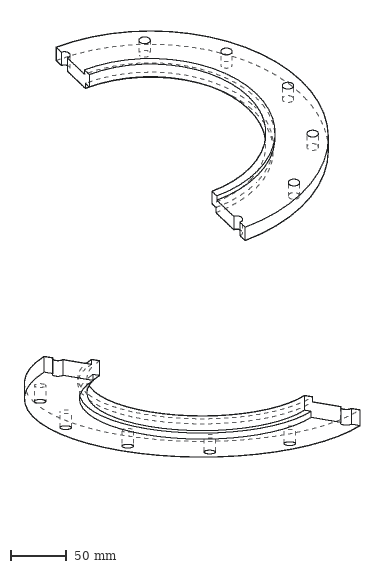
import cadquery as cq
import math

outer_radius = 160.0
bore_radius = 103.7
rim_radius = 112.0
recess_radius = 110.5
flange_height = 15.0
total_height = 20.0
recess_depth = 5.8

bolt_circle_radius = 146.0
bolt_hole_diameter = 10.2
bolt_spacing_angle = 30
bolt_count = 7


def half_disc(radius, height):
    """Half cylinder on the +Y side, standing on Z = 0."""
    return (
        cq.Workplane("XY")
        .moveTo(-radius, 0)
        .threePointArc((0, radius), (radius, 0))
        .close()
        .extrude(height)
    )


def bolt_holes():
    """Through holes along the bolt circle, from +X round to -X."""
    angles = [math.radians(i * bolt_spacing_angle) for i in range(bolt_count)]
    centres = [
        (bolt_circle_radius * math.cos(a), bolt_circle_radius * math.sin(a))
        for a in angles
    ]
    return (
        cq.Workplane("XY")
        .pushPoints(centres)
        .circle(bolt_hole_diameter / 2)
        .extrude(flange_height)
    )


body = half_disc(outer_radius, flange_height).union(half_disc(rim_radius, total_height))

body = body.cut(half_disc(bore_radius, total_height))
body = body.cut(half_disc(recess_radius, recess_depth))

result = body.cut(bolt_holes())